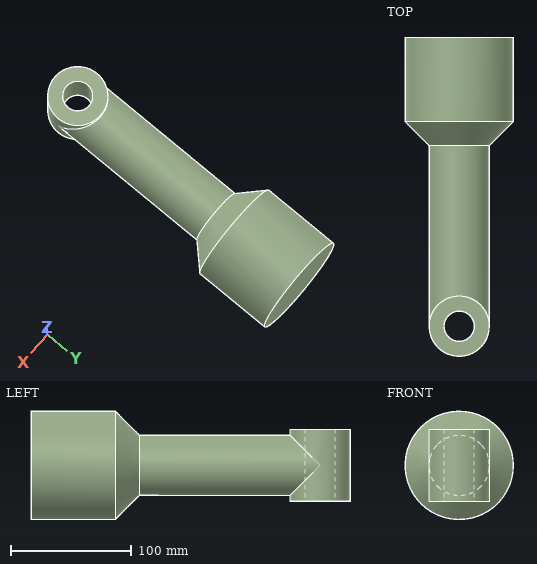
import cadquery as cq

total_length = 265.0
head_diameter = 90.0
head_length = 70.0
rod_diameter = 50.0
eye_diameter = rod_diameter
eye_height = 60.0
bore_diameter = 25.0

head_radius = head_diameter / 2
rod_radius = rod_diameter / 2
head_end = total_length - eye_diameter / 2
head_start = head_end - head_length
cone_start = head_start - (head_radius - rod_radius)


def make_shank():
    """Rod, cone and head revolved as one profile about the Y axis."""
    return (
        cq.Workplane("XY")
        .moveTo(0, 0)
        .lineTo(rod_radius, 0)
        .lineTo(rod_radius, cone_start)
        .lineTo(head_radius, head_start)
        .lineTo(head_radius, head_end)
        .lineTo(0, head_end)
        .close()
        .revolve(360, (0, 0, 0), (0, 1, 0))
    )


def make_upright_cylinder(diameter):
    """Cylinder on the eye axis, centred on the rod axis."""
    return cq.Workplane("XY").circle(diameter / 2).extrude(eye_height / 2, both=True)


eye = make_upright_cylinder(eye_diameter)
bore = make_upright_cylinder(bore_diameter)
result = make_shank().union(eye).cut(bore)